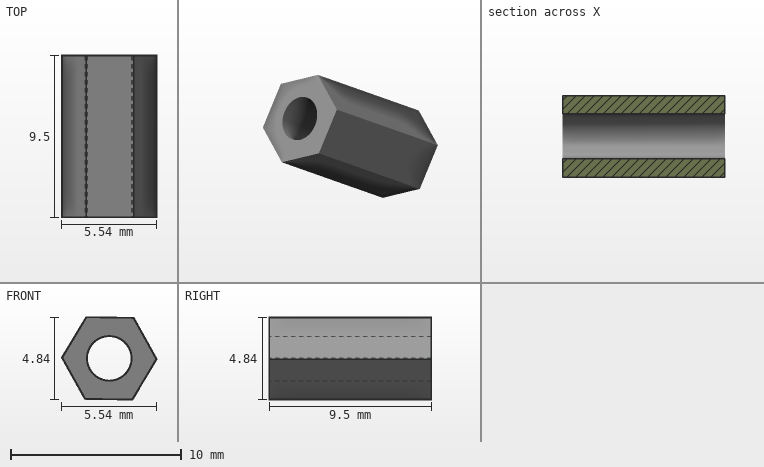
import cadquery as cq
import math

side_count = 6
across_flats = 4.8
length = 9.5
bore_diameter = 2.6
tilt_angle = 0.9

across_corners = across_flats / math.cos(math.pi / side_count)


def make_body():
    """Hexagonal bar centred on the origin, turned slightly about its axis."""
    bar = cq.Workplane("XZ").polygon(side_count, across_corners).extrude(length / 2, both=True)
    return bar.rotate((0, 0, 0), (0, 1, 0), tilt_angle)


def make_bore():
    """Plain round bore running the full length of the bar."""
    return cq.Workplane("XZ").circle(bore_diameter / 2).extrude(length / 2, both=True)


result = make_body().cut(make_bore())